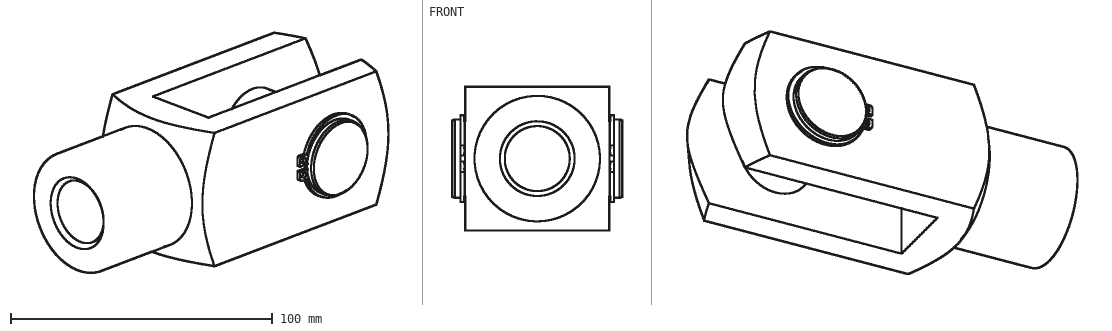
import cadquery as cq
import math


body_width = 55.0
slot_width = 30.0
overall_length = 148.0
tip_y = 38.0
slot_floor_y = -54.0
end_y = tip_y - overall_length
shank_diameter = 48.0
shank_length = 38.0
shank_end_radius = 1.0
shoulder_y = end_y + shank_length
bore_diameter = 24.9
bore_mouth_diameter = 28.5
cone_slope = math.tan(math.radians(30))

pin_diameter = 30.0
pin_length = 65.0
pin_chamfer_length = 1.0
pin_chamfer_depth = 0.5
groove_diameter = 28.5
ring_gap = 0.3
ring_thickness = 1.5
ring_diameter = 33.3
ring_offset = 0.6
lug_end = 18.8
lug_half_span = 5.0
lug_corner_radius = 1.2
ring_opening = 2.2
lug_hole_diameter = 2.0
lug_hole_y = -16.6
lug_hole_z = 3.0


def turned_envelope():
    """Solid of revolution about Y that turns the coned ends of the square body."""
    turning_radius = body_width
    slot_half = slot_width / 2
    shank_radius = shank_diameter / 2
    tip_cone_y = tip_y - (turning_radius - slot_half) * cone_slope
    shoulder_cone_y = shoulder_y + (turning_radius - shank_radius) * cone_slope
    profile = [
        (0, tip_y),
        (slot_half, tip_y),
        (turning_radius, tip_cone_y),
        (turning_radius, shoulder_cone_y),
        (shank_radius, shoulder_y),
        (0, shoulder_y),
    ]
    return cq.Workplane("XY").polyline(profile).close().revolve(360, (0, 0), (0, 1))


def along_y(diameter, start_y, length):
    """Cylinder on the fork axis, running toward +Y."""
    plane = cq.Plane(origin=(0, start_y, 0), xDir=(1, 0, 0), normal=(0, 1, 0))
    return cq.Workplane(plane).circle(diameter / 2).extrude(length)


def make_fork():
    body_length = tip_y - shoulder_y
    body = cq.Workplane("XY").box(body_width, body_length, body_width)
    body = body.translate((0, (tip_y + shoulder_y) / 2, 0)).intersect(turned_envelope())

    shank = along_y(shank_diameter, end_y, shank_length).faces("<Y").edges().fillet(shank_end_radius)
    slot_length = tip_y - slot_floor_y
    slot = cq.Workplane("XY").box(slot_width, slot_length, body_width)
    slot = slot.translate((0, (tip_y + slot_floor_y) / 2, 0))

    bore = along_y(bore_diameter, end_y, slot_floor_y - end_y)
    mouth_depth = (bore_mouth_diameter - bore_diameter) / 2
    mouth_profile = [
        (0, end_y),
        (bore_mouth_diameter / 2, end_y),
        (bore_diameter / 2, end_y + mouth_depth),
        (0, end_y + mouth_depth),
    ]
    mouth = cq.Workplane("XY").polyline(mouth_profile).close().revolve(360, (0, 0), (0, 1))
    return body.union(shank).cut(slot).cut(bore).cut(mouth)


def make_pin():
    """Pin turned about X, with a retaining groove just outside each fork arm."""
    pin_radius = pin_diameter / 2
    groove_radius = groove_diameter / 2
    end_x = pin_length / 2
    groove_start = body_width / 2
    groove_end = groove_start + ring_gap + ring_thickness
    half_profile = [
        (0, 0),
        (0, pin_radius),
        (groove_start, pin_radius),
        (groove_start, groove_radius),
        (groove_end, groove_radius),
        (groove_end, pin_radius),
        (end_x - pin_chamfer_length, pin_radius),
        (end_x, pin_radius - pin_chamfer_depth),
        (end_x, 0),
    ]
    half = cq.Workplane("XY").polyline(half_profile).close().revolve(360, (0, 0), (1, 0))
    return half.union(half.mirror("YZ"))


def make_ring():
    """Eccentric retaining ring on the +X side, with two drilled lugs toward -Y."""
    plane = cq.Workplane("YZ", origin=(body_width / 2 + ring_gap, 0, 0))
    ring = plane.center(ring_offset, 0).circle(ring_diameter / 2).extrude(ring_thickness)
    lugs = plane.center(-lug_end / 2, 0).rect(lug_end, 2 * lug_half_span).extrude(ring_thickness)
    lugs = lugs.edges("|X and <Y").fillet(lug_corner_radius)
    opening = plane.center(-lug_end / 2, 0).rect(lug_end, ring_opening).extrude(ring_thickness)
    holes = plane.pushPoints([(lug_hole_y, lug_hole_z), (lug_hole_y, -lug_hole_z)])
    holes = holes.circle(lug_hole_diameter / 2).extrude(ring_thickness)
    inside = plane.circle(groove_diameter / 2).extrude(ring_thickness)
    return ring.union(lugs).cut(opening).cut(holes).cut(inside)


ring = make_ring()
result = make_fork().union(make_pin()).union(ring).union(ring.mirror("YZ"))